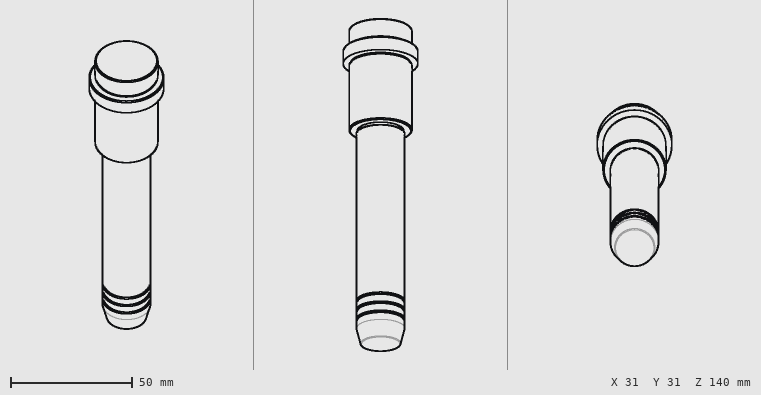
import cadquery as cq
import math

length = 140.0
head_height = 9.0
flange_height = 6.0
body_length = 30.0

flange_top = length - head_height
flange_bottom = flange_top - flange_height
body_bottom = flange_bottom - body_length

flange_radius = 31.0 / 2
body_radius = 26.0 / 2
shaft_radius = 20.0 / 2

edge_break = 0.49
neck_depth = 0.5
head_neck_width = 0.5
body_neck_width = 0.4
shaft_relief_width = 1.3
shaft_relief_depth = 0.4

nose_length = 7.0
nose_angle = 14.0
nose_tip_radius = shaft_radius - nose_length * math.tan(math.radians(nose_angle))
nose_rounding = 0.4

groove_count = 3
groove_pitch = 4.0
first_groove_height = 10.5
groove_width = 1.0
groove_depth = groove_width / 2


def cylinder(radius, bottom, top):
    return cq.Workplane("XY").workplane(offset=bottom).circle(radius).extrude(top - bottom)


def v_groove(height):
    """Ring of triangular section that cuts a V into the shaft."""
    half_width = groove_width / 2
    return (
        cq.Workplane("XZ")
        .moveTo(shaft_radius, height - half_width)
        .lineTo(shaft_radius - groove_depth, height)
        .lineTo(shaft_radius, height + half_width)
        .close()
        .revolve(360, (0, 0, 0), (0, 1, 0))
    )


nose = (
    cq.Workplane("XY")
    .circle(nose_tip_radius)
    .workplane(offset=nose_length)
    .circle(shaft_radius)
    .loft(ruled=True)
    .faces("<Z")
    .edges()
    .fillet(nose_rounding)
)
shaft = cylinder(shaft_radius, nose_length, body_bottom - shaft_relief_width)
for index in range(groove_count):
    shaft = shaft.cut(v_groove(first_groove_height + index * groove_pitch))
shaft_relief = cylinder(
    shaft_radius - shaft_relief_depth, body_bottom - shaft_relief_width, body_bottom
)

body = cylinder(body_radius, body_bottom, flange_bottom - body_neck_width).edges().chamfer(edge_break)
body_neck = cylinder(body_radius - neck_depth, flange_bottom - body_neck_width, flange_bottom)

flange = cylinder(flange_radius, flange_bottom, flange_top).edges(">Z").chamfer(edge_break)

head_neck = cylinder(body_radius - neck_depth, flange_top, flange_top + head_neck_width)
head = cylinder(body_radius, flange_top + head_neck_width, length).edges().chamfer(edge_break)

result = nose
for section in (shaft, shaft_relief, body, body_neck, flange, head_neck, head):
    result = result.union(section)